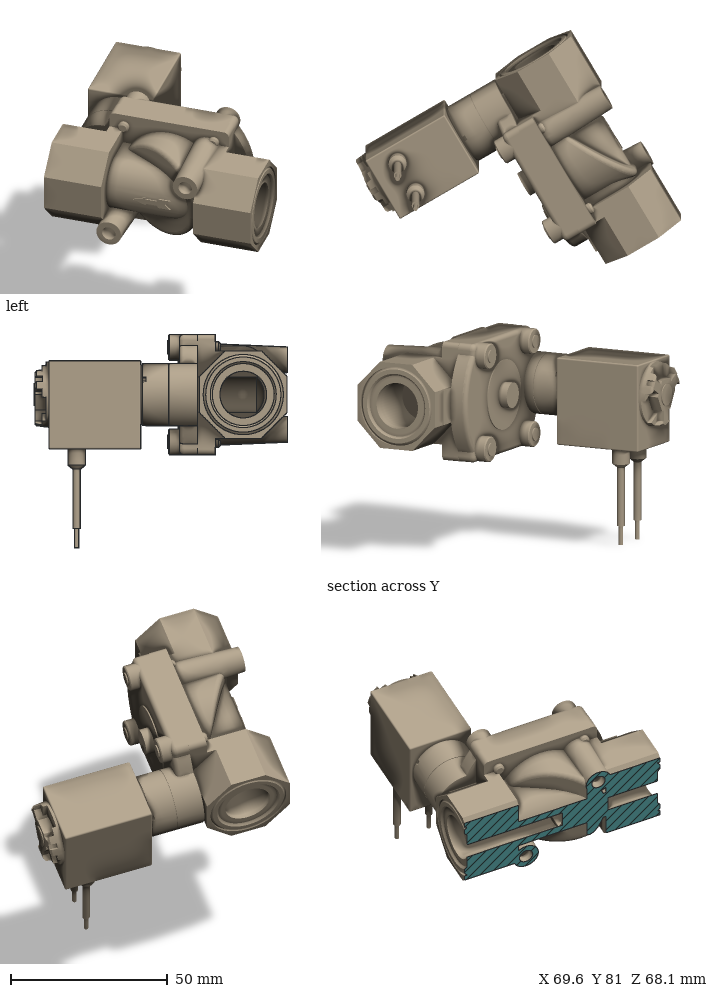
import cadquery as cq
import math


PORT_HALF_LENGTH = 34.6
PORT_INNER_X = 15.4
PORT_SIDES = 8
PORT_FLATS = 27.95
BORE_RADIUS = 7.45
COUNTERSINK_RADIUS = 10.5
COUNTERSINK_FLOOR_RADIUS = 9.9
COUNTERSINK_DEPTH = 0.8
GROOVE_OUTER_RADIUS = 12.8
GROOVE_INNER_RADIUS = 12.0
GROOVE_DEPTH = 0.8
INLET_BORE_END = 16.2
SEAT_RADIUS = 5.7
SEAT_FLOOR_Y = -4.2
SEAT_DOME_DEPTH = 2.4
SEAT_TOP_Y = 11.3
PAD_REACH = 29.65
PAD_HALF_WIDTH = 5.6

FLANGE_LENGTH = 40.0
FLANGE_WIDTH = 38.4
FLANGE_CORNER = 1.6
FLANGE_BOTTOM_Y = 8.9
FLANGE_TOP_Y = 14.7
COVER_TOP_Y = 20.4
COVER_RADIUS = 25.4
COVER_CORNER = 1.95
COVER_EDGE_FILLET = 1.45
COVER_CROWN_RADIUS = 11.3
COVER_CROWN_HEIGHT = 0.4
TUBE_RADIUS = 8.8
BOWL_RADIUS = 15.5
BOWL_SLOPE = 30
BOWL_SLOPE_END_X = 11.9
BOWL_FRONT_Y = -9.6
BOWL_EDGE_FILLET = 1.45

SCREW_OFFSET = 15.1
SCREW_HEAD_RADIUS = 4.1
SCREW_HEAD_TOP_Y = 23.8
SCREW_HEAD_CHAMFER = 0.3
SCREW_CROWN_RADIUS = 2.1
SCREW_CROWN_HEIGHT = 0.4
SCREW_TIP_RADIUS = 1.8
SCREW_TIP_LENGTH = 1.6
SCREW_TIP_CHAMFER = 0.6

LEG_X = 12.8
LEG_Z = 11.1
LEG_END_Y = -14.2
LEG_ROOT_RADIUS = 5.1
LEG_END_RADIUS = 4.1
LEG_HOLE_RADIUS = 2.3
LEG_HOLE_DEPTH = 9.7

ARROW_RELIEF = 0.3
ARROW_THICKNESS = 1.2
ARROW_TIP_X = -6.3
ARROW_HEAD_X = -2.1
ARROW_HEAD_HALF = 1.4
ARROW_SHAFT_HALF = 0.8
ARROW_SHAFT_END_X = 1.6
ARROW_TAIL_X = 2.2
ARROW_END_X = 6.15
ARROW_TAIL_HALF = 1.6
ARROW_NOTCH_X = 4.4

COIL_X = -24.0
COIL_WIDTH = 21.9
COIL_BOTTOM_Y = 32.65
COIL_TOP_Y = 62.05
COIL_TOP_Z = 10.85
COIL_BOTTOM_Z = -17.4
COIL_EDGE_FILLET = 0.5
STEM_RADIUS = 10.0
STEM_TOP_Y = 32.1
STEM_NECK_RADIUS = 9.5
STEM_GROOVE_Y = 23.65
STEM_GROOVE_SIZE = 0.25
STEM_NOTCH_WIDTH = 1.6
STEM_NOTCH_HEIGHT = 1.0
STEM_NOTCH_DEPTH = 0.8
CAP_RADIUS = 10.45
CAP_TOP_RADIUS = 10.0
CAP_HEIGHT = 4.45
CAP_CHAMFER = 0.6
CAP_HUB_RADIUS = 3.5
CAP_HUB_TOP_Y = 66.8
CAP_CORE_SIDES = 6
CAP_CORE_RADIUS = 5.7
CAP_RIB_WIDTH = 3.2
SCOOP_STEPS = [(0.8, 8.75), (2.2, 13)]
CAP_SLOT_WIDTH = 1.95
CAP_SLOT_FLOOR = 1.95
CAP_SLOT_INNER_RADIUS = 9.1

SCOOP_ANGLES = (90, 210, 330)
SLOT_ANGLES = (30, 150, 270)

WIRE_SPACING = 11.25
WIRE_Y = 53.1
WIRE_SLEEVE_RADIUS = 2.8
WIRE_SLEEVE_END_Z = -22.5
WIRE_TAPER_END_Z = -23.8
WIRE_RADIUS = 1.2
WIRE_END_Z = -42.8
WIRE_CORE_RADIUS = 0.7
WIRE_CORE_END_Z = -48.9


def disc(x, z, start_y, end_y, radius):
    """Cylinder along +Y."""
    return cq.Workplane("XZ", origin=(x, start_y, z)).circle(radius).extrude(start_y - end_y)


def cone(base, direction, length, start_radius, end_radius):
    return cq.Workplane(cq.Solid.makeCone(start_radius, end_radius, length, base, direction))


def block(x_range, y_range, z_range):
    lows, highs = zip(x_range, y_range, z_range)
    size = [high - low for low, high in zip(lows, highs)]
    return cq.Workplane().box(*size, centered=False).translate(lows)


def flange(start_y, end_y, corner):
    sketch = cq.Workplane("XZ", origin=(0, start_y, 0))
    plate = sketch.rect(FLANGE_LENGTH, FLANGE_WIDTH)
    return plate.extrude(start_y - end_y).edges("|Y").fillet(corner)


def port():
    """Right-hand octagonal port, squared off under the flange, still without its bore."""
    length = PORT_HALF_LENGTH - PORT_INNER_X
    corner_diameter = PORT_FLATS / math.cos(math.pi / PORT_SIDES)
    sketch = cq.Workplane("YZ", origin=(PORT_INNER_X, 0, 0)).polygon(PORT_SIDES, corner_diameter)
    octagon = sketch.extrude(length).rotate((0, 0, 0), (1, 0, 0), 180 / PORT_SIDES)
    pad = block((0, PAD_REACH), (0, FLANGE_TOP_Y), (-PAD_HALF_WIDTH, PAD_HALF_WIDTH))
    half_flats = PORT_FLATS / 2
    shoulder_bottom_y = half_flats * math.tan(math.pi / PORT_SIDES)
    shoulder = block(
        (PORT_INNER_X, FLANGE_LENGTH / 2), (shoulder_bottom_y, FLANGE_TOP_Y), (-half_flats, half_flats)
    )
    return octagon.union(pad).union(shoulder)


def port_mouth():
    """Countersink and ring groove in the right-hand port face."""
    end = PORT_HALF_LENGTH
    groove = (
        cq.Workplane("XY")
        .polyline([
            (end, GROOVE_INNER_RADIUS),
            (end, GROOVE_OUTER_RADIUS),
            (end - GROOVE_DEPTH, GROOVE_OUTER_RADIUS),
        ])
        .close()
        .revolve(360, (0, 0, 0), (1, 0, 0))
    )
    inward = cq.Vector(-1, 0, 0)
    countersink = cone(
        cq.Vector(end, 0, 0), inward, COUNTERSINK_DEPTH, COUNTERSINK_RADIUS, COUNTERSINK_FLOOR_RADIUS
    )
    return groove.union(countersink)


def flow_passage():
    """Outlet and inlet bores, and the valve seat well with its domed floor."""
    dome_radius = (SEAT_RADIUS**2 + SEAT_DOME_DEPTH**2) / (2 * SEAT_DOME_DEPTH)
    outlet = cq.Workplane("YZ").circle(BORE_RADIUS).extrude(-PORT_HALF_LENGTH)
    inlet_start = cq.Workplane("YZ", origin=(INLET_BORE_END, 0, 0))
    inlet = inlet_start.circle(BORE_RADIUS).extrude(PORT_HALF_LENGTH - INLET_BORE_END)
    seat = (
        cq.Workplane("XY")
        .moveTo(0, SEAT_TOP_Y)
        .lineTo(SEAT_RADIUS, SEAT_TOP_Y)
        .lineTo(SEAT_RADIUS, SEAT_FLOOR_Y)
        .radiusArc((0, SEAT_FLOOR_Y - SEAT_DOME_DEPTH), dome_radius)
        .close()
        .revolve(360, (0, 0, 0), (0, 1, 0))
    )
    return outlet.union(inlet).union(seat)


def bowl():
    """Round diaphragm bowl, cut off by a sloping plane and a flat front."""
    slope = math.tan(math.radians(BOWL_SLOPE))
    left_y = -TUBE_RADIUS + slope * (BOWL_SLOPE_END_X + BOWL_RADIUS)
    flat_x = BOWL_SLOPE_END_X + (-TUBE_RADIUS - BOWL_FRONT_Y) / slope
    profile = [
        (-BOWL_RADIUS, left_y),
        (flat_x, BOWL_FRONT_Y),
        (BOWL_RADIUS, BOWL_FRONT_Y),
        (BOWL_RADIUS, FLANGE_TOP_Y),
        (-BOWL_RADIUS, FLANGE_TOP_Y),
    ]
    wedge = cq.Workplane("XY").polyline(profile).close().extrude(BOWL_RADIUS, both=True)
    solid = disc(0, 0, BOWL_FRONT_Y, FLANGE_TOP_Y, BOWL_RADIUS).intersect(wedge)
    front_edges = solid.faces("%PLANE and (not >Y)").edges()
    return front_edges.fillet(BOWL_EDGE_FILLET)


def flow_tube():
    """Tube along X with straight sides rising to the flange."""
    return (
        cq.Workplane("YZ", origin=(-PORT_INNER_X, 0, 0))
        .moveTo(FLANGE_TOP_Y, TUBE_RADIUS)
        .lineTo(0, TUBE_RADIUS)
        .threePointArc((-TUBE_RADIUS, 0), (0, -TUBE_RADIUS))
        .lineTo(FLANGE_TOP_Y, -TUBE_RADIUS)
        .close()
        .extrude(2 * PORT_INNER_X)
    )


def flow_arrow():
    upper = [
        (ARROW_HEAD_X, ARROW_HEAD_HALF),
        (ARROW_HEAD_X, ARROW_SHAFT_HALF),
        (ARROW_SHAFT_END_X, ARROW_SHAFT_HALF),
        (ARROW_TAIL_X, ARROW_TAIL_HALF),
        (ARROW_END_X, ARROW_TAIL_HALF),
    ]
    lower = [(x, -z) for x, z in reversed(upper)]
    outline = [(ARROW_TIP_X, 0), *upper, (ARROW_NOTCH_X, 0), *lower]
    front = cq.Workplane("XZ", origin=(0, -TUBE_RADIUS - ARROW_RELIEF, 0))
    return front.polyline(outline).close().extrude(-ARROW_THICKNESS)


def leg(x, z):
    return cone(
        cq.Vector(x, LEG_END_Y, z),
        cq.Vector(0, 1, 0),
        FLANGE_BOTTOM_Y - LEG_END_Y,
        LEG_END_RADIUS,
        LEG_ROOT_RADIUS,
    )


def leg_hole(x, z):
    return disc(x, z, LEG_END_Y, LEG_END_Y + LEG_HOLE_DEPTH, LEG_HOLE_RADIUS)


def cover():
    """Flange outline joined with a large disc that is as wide as the flange."""
    half_width = FLANGE_WIDTH / 2
    strip = block(
        (-COVER_RADIUS, COVER_RADIUS), (FLANGE_TOP_Y, COVER_TOP_Y), (-half_width, half_width)
    )
    wings = disc(0, 0, FLANGE_TOP_Y, COVER_TOP_Y, COVER_RADIUS).intersect(strip)
    body = flange(FLANGE_TOP_Y, COVER_TOP_Y, COVER_CORNER).union(wings)
    body = body.faces(">Y").edges().fillet(COVER_EDGE_FILLET)
    crown = disc(0, 0, COVER_TOP_Y, COVER_TOP_Y + COVER_CROWN_HEIGHT, COVER_CROWN_RADIUS)
    plug = disc(0, 0, COVER_TOP_Y, SCREW_HEAD_TOP_Y, SCREW_HEAD_RADIUS)
    return body.union(crown).union(plug)


def screw(x, z):
    head_start = COVER_TOP_Y - COVER_EDGE_FILLET
    head = disc(x, z, head_start, SCREW_HEAD_TOP_Y, SCREW_HEAD_RADIUS)
    head = head.faces(">Y").chamfer(SCREW_HEAD_CHAMFER)
    crown_top = SCREW_HEAD_TOP_Y + SCREW_CROWN_HEIGHT
    crown = disc(x, z, SCREW_HEAD_TOP_Y, crown_top, SCREW_CROWN_RADIUS)
    tip = disc(x, z, FLANGE_BOTTOM_Y - SCREW_TIP_LENGTH, FLANGE_TOP_Y, SCREW_TIP_RADIUS)
    tip = tip.faces("<Y").chamfer(SCREW_TIP_CHAMFER)
    return head.union(crown).union(tip)


def radial_block(angle, width, inner_radius, outer_radius, start_y, end_y):
    """Box pointing away from the coil axis at an angle from +X toward +Z."""
    box = block((inner_radius, outer_radius), (start_y, end_y), (-width / 2, width / 2))
    return box.rotate((0, 0, 0), (0, 1, 0), -angle).translate((COIL_X, 0, 0))


def stem():
    body = disc(COIL_X, 0, FLANGE_TOP_Y, STEM_TOP_Y, STEM_RADIUS)
    groove_end = STEM_GROOVE_Y + STEM_GROOVE_SIZE
    core = disc(COIL_X, 0, STEM_GROOVE_Y, groove_end, STEM_RADIUS - STEM_GROOVE_SIZE)
    body = body.cut(disc(COIL_X, 0, STEM_GROOVE_Y, groove_end, STEM_RADIUS).cut(core))
    for angle in SLOT_ANGLES:
        body = body.cut(
            radial_block(
                angle,
                STEM_NOTCH_WIDTH,
                STEM_RADIUS - STEM_NOTCH_DEPTH,
                STEM_RADIUS + STEM_NOTCH_DEPTH,
                STEM_TOP_Y - STEM_NOTCH_HEIGHT,
                STEM_TOP_Y,
            )
        )
    return body.union(disc(COIL_X, 0, STEM_TOP_Y, COIL_BOTTOM_Y, STEM_NECK_RADIUS))


def coil():
    half_width = COIL_WIDTH / 2
    housing = block(
        (COIL_X - half_width, COIL_X + half_width),
        (COIL_BOTTOM_Y, COIL_TOP_Y),
        (COIL_BOTTOM_Z, COIL_TOP_Z),
    )
    return housing.edges().fillet(COIL_EDGE_FILLET)


def cap():
    """Coil nut with stepped finger scoops around a ribbed hexagonal core, and rim slots between them."""
    top_y = COIL_TOP_Y + CAP_HEIGHT
    base = cq.Vector(COIL_X, COIL_TOP_Y, 0)
    body = cone(base, cq.Vector(0, 1, 0), CAP_HEIGHT, CAP_RADIUS, CAP_TOP_RADIUS)
    body = body.faces(">Y").chamfer(CAP_CHAMFER)
    core_sketch = cq.Workplane("XZ", origin=(COIL_X, COIL_TOP_Y, 0))
    core = core_sketch.polygon(CAP_CORE_SIDES, 2 * CAP_CORE_RADIUS).extrude(-CAP_HEIGHT)
    outside = 2 * CAP_RADIUS
    for angle in SLOT_ANGLES:
        core = core.union(radial_block(angle, CAP_RIB_WIDTH, 0, CAP_RADIUS, COIL_TOP_Y, top_y))
    for angle in SCOOP_ANGLES:
        for height, width in SCOOP_STEPS:
            scoop = radial_block(angle, width, 0, outside, COIL_TOP_Y + height, top_y)
            body = body.cut(scoop.cut(core))
    slot_floor_y = COIL_TOP_Y + CAP_SLOT_FLOOR
    for angle in SLOT_ANGLES:
        slot = radial_block(
            angle, CAP_SLOT_WIDTH, CAP_SLOT_INNER_RADIUS, outside, slot_floor_y, top_y
        )
        body = body.cut(slot)
    return body.union(disc(COIL_X, 0, COIL_TOP_Y, CAP_HUB_TOP_Y, CAP_HUB_RADIUS))


def wire(x):
    """Strain-relief sleeve, insulated wire and bare core, hanging down from the coil."""
    profile = [
        (0, COIL_BOTTOM_Z),
        (WIRE_SLEEVE_RADIUS, COIL_BOTTOM_Z),
        (WIRE_SLEEVE_RADIUS, WIRE_SLEEVE_END_Z),
        (WIRE_RADIUS, WIRE_TAPER_END_Z),
        (WIRE_RADIUS, WIRE_END_Z),
        (WIRE_CORE_RADIUS, WIRE_END_Z),
        (WIRE_CORE_RADIUS, WIRE_CORE_END_Z),
        (0, WIRE_CORE_END_Z),
    ]
    outline = cq.Workplane("XZ").polyline(profile).close()
    return outline.revolve(360, (0, 0, 0), (0, 1, 0)).translate((x, WIRE_Y, 0))


leg_places = [(LEG_X, LEG_Z), (-LEG_X, -LEG_Z)]
screw_places = [(x, z) for x in (-SCREW_OFFSET, SCREW_OFFSET) for z in (-SCREW_OFFSET, SCREW_OFFSET)]

result = flange(FLANGE_BOTTOM_Y, FLANGE_TOP_Y, FLANGE_CORNER).union(flow_tube()).union(bowl())
result = result.union(port()).union(port().mirror("YZ")).union(flow_arrow())
for place in leg_places:
    result = result.union(leg(*place))
for place in leg_places:
    result = result.cut(leg_hole(*place))
result = result.cut(flow_passage()).cut(port_mouth()).cut(port_mouth().mirror("YZ"))

result = result.union(cover())
for place in screw_places:
    result = result.union(screw(*place))
result = result.union(stem()).union(coil()).union(cap())
for side in (-1, 1):
    result = result.union(wire(COIL_X + side * WIRE_SPACING / 2))